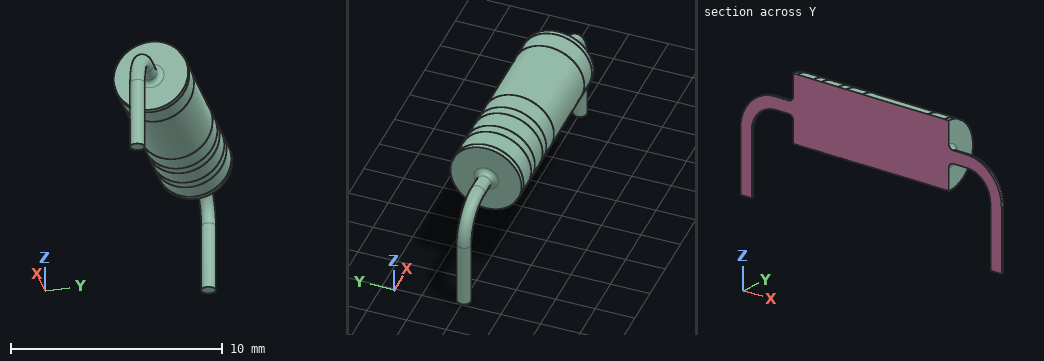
import cadquery as cq

overall_length = 15.94
lead_diameter = 0.7
overall_height = 7.01
bend_radius = 1.8

body_length = 9.5
body_diameter = 3.6
band_diameter = 3.62
band_width = 1.0
band_pitch = 1.5
left_band_count = 3
end_margin = 0.25

root_fillet = 0.27

lead_radius = lead_diameter / 2
lead_x = overall_length / 2 - lead_radius
lead_drop = overall_height - band_diameter / 2
body_end = body_length / 2
first_band = -body_end + end_margin
last_band = body_end - end_margin - band_width
band_starts = [first_band + i * band_pitch for i in range(left_band_count)] + [last_band]


def cylinder_along_x(start, length, diameter):
    return cq.Workplane("YZ", origin=(start, 0, 0)).circle(diameter / 2).extrude(length)


def bent_lead():
    """Right-hand lead: out of the body, round a quarter bend and down."""
    bend_start = lead_x - bend_radius
    straight = cylinder_along_x(body_end, bend_start - body_end, lead_diameter)
    bend = (
        cq.Workplane("YZ", origin=(bend_start, 0, 0))
        .circle(lead_radius)
        .revolve(90, (-0.16, -bend_radius, 0), (0.16, -bend_radius, 0))
    )
    leg = (
        cq.Workplane("XY", origin=(lead_x, 0, -lead_drop))
        .circle(lead_radius)
        .extrude(lead_drop - bend_radius)
    )
    return straight.union(bend).union(leg)


def lead_root():
    """Flared collar that blends the right-hand lead into the body end."""
    arc_middle = root_fillet * (1 - 0.5 ** 0.5)
    return (
        cq.Workplane("XY")
        .moveTo(body_end, 0)
        .lineTo(body_end, lead_radius + root_fillet)
        .threePointArc(
            (body_end + arc_middle, lead_radius + arc_middle),
            (body_end + root_fillet, lead_radius),
        )
        .lineTo(body_end + root_fillet, 0)
        .close()
        .revolve(360, (0, 0, 0), (1, 0, 0))
    )


result = cylinder_along_x(-body_end, body_length, body_diameter)
for band_start in band_starts:
    result = result.union(cylinder_along_x(band_start, band_width, band_diameter))

right_lead = bent_lead().union(lead_root())
result = result.union(right_lead).union(right_lead.mirror("YZ"))